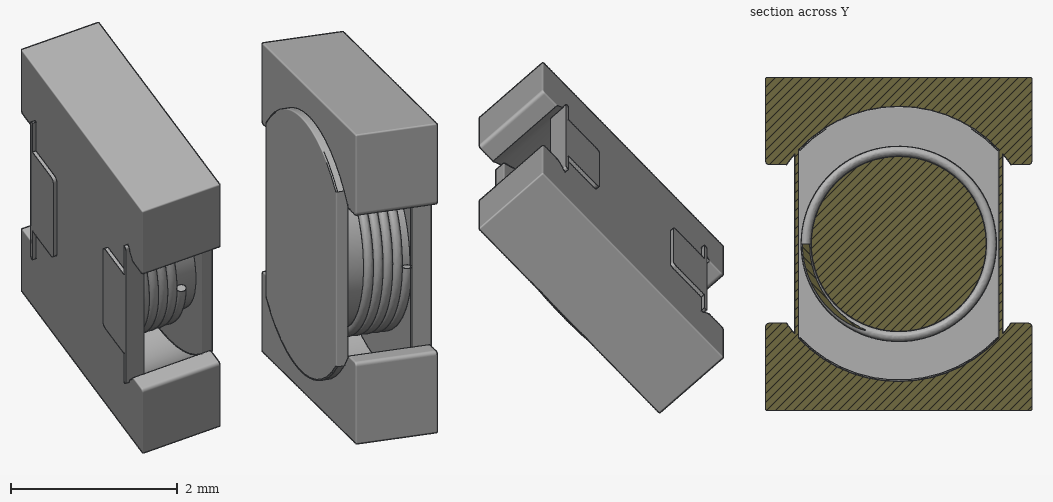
import cadquery as cq

WIDTH = 3.2
HEIGHT = 4.0
RING_DEPTH = 1.05
EDGE_ROUND = 0.02

OPENING_HEIGHT = 1.895
LIP_OUTER_ROUND = 0.05

FLANGE_RADIUS = 1.65
FLANGE_WIDTH = 2.4
FLANGE_THICKNESS = 0.15
FLANGE_EDGE_ROUND = 0.015
REAR_OVERHANG = 0.1
POST_RADIUS = 1.05
DRUM_DEPTH = RING_DEPTH + REAR_OVERHANG

TERMINAL_THICKNESS = 0.05
PLATE_REACH = 0.2
PLATE_HEIGHT = 2.255
PLATE_END_ROUND = 0.03
PAD_INNER_X = 0.65
PAD_HEIGHT = 1.305
PAD_CORNER_RADIUS = 0.06

WIRE_RADIUS = 0.06
COIL_PITCH = 0.125
COIL_TURNS = 4.5
COIL_RADIUS = POST_RADIUS + WIRE_RADIUS
COIL_FRONT_Y = FLANGE_THICKNESS + WIRE_RADIUS


def y_cylinder(radius, y_start, length):
    """Cylinder along Y, centred on the Y axis, from y_start towards +Y."""
    return cq.Workplane("XZ", origin=(0, y_start, 0)).circle(radius).extrude(-length)


def y_box(x_min, x_max, y_start, length, height):
    """Box centred on Z = 0, from x_min to x_max and from y_start towards +Y."""
    corner = cq.Workplane("XY", origin=(x_min, y_start, 0))
    return corner.box(x_max - x_min, length, height, centered=(False, False, True))


def make_upper_ring_half():
    """Part of the ring above the side openings, with the bore cut through it."""
    half_height = (HEIGHT - OPENING_HEIGHT) / 2
    half = (
        cq.Workplane("XY", origin=(0, RING_DEPTH / 2, OPENING_HEIGHT / 2))
        .box(WIDTH, RING_DEPTH, half_height, centered=(True, True, False))
    )
    half = half.edges("|Y and <Z").fillet(LIP_OUTER_ROUND)
    half = half.edges("|Y and >Z").fillet(EDGE_ROUND)
    half = half.faces("<Y or >Y").edges().fillet(EDGE_ROUND)
    return half.cut(y_cylinder(FLANGE_RADIUS, 0, RING_DEPTH))


def make_flange(y_start):
    """Disc with its two sides cut flat, filling the ring bore above and below."""
    flats = y_box(-FLANGE_WIDTH / 2, FLANGE_WIDTH / 2, y_start, FLANGE_THICKNESS, HEIGHT)
    return y_cylinder(FLANGE_RADIUS, y_start, FLANGE_THICKNESS).intersect(flats)


def make_right_terminal():
    outer_x = FLANGE_WIDTH / 2 + TERMINAL_THICKNESS
    plate_depth = TERMINAL_THICKNESS + PLATE_REACH
    plate = y_box(FLANGE_WIDTH / 2, outer_x, -TERMINAL_THICKNESS, plate_depth, PLATE_HEIGHT)
    plate = plate.edges("|Y and >X").fillet(PLATE_END_ROUND)
    pad = y_box(PAD_INNER_X, outer_x, -TERMINAL_THICKNESS, TERMINAL_THICKNESS, PAD_HEIGHT)
    pad = pad.edges("|Y and <X").fillet(PAD_CORNER_RADIUS)
    return plate.union(pad)


def make_core():
    """Drum, ring and both terminals as one solid."""
    rear_flange = make_flange(DRUM_DEPTH - FLANGE_THICKNESS)
    rear_flange = rear_flange.faces("<Y or >Y").edges().fillet(FLANGE_EDGE_ROUND)
    core = y_cylinder(POST_RADIUS, 0, DRUM_DEPTH).union(make_flange(0)).union(rear_flange)
    ring_half = make_upper_ring_half()
    core = core.union(ring_half).union(ring_half.mirror("XY"))
    terminal = make_right_terminal()
    return core.union(terminal).union(terminal.mirror("YZ"))


def make_coil():
    """Left-handed helix lying on the post, from the +X side at the rear to the -X side at the front."""
    length = COIL_PITCH * COIL_TURNS
    path = cq.Wire.makeHelix(COIL_PITCH, length, COIL_RADIUS, lefthand=True)
    coil = (
        cq.Workplane("XZ", origin=(COIL_RADIUS, 0, 0))
        .circle(WIRE_RADIUS)
        .sweep(cq.Workplane(path), isFrenet=True)
    )
    return coil.rotate((0, 0, 0), (1, 0, 0), 90).translate((0, COIL_FRONT_Y + length, 0))


core = make_core()
coil = make_coil()
result = cq.Compound.makeCompound([core.solids().val(), coil.val()])